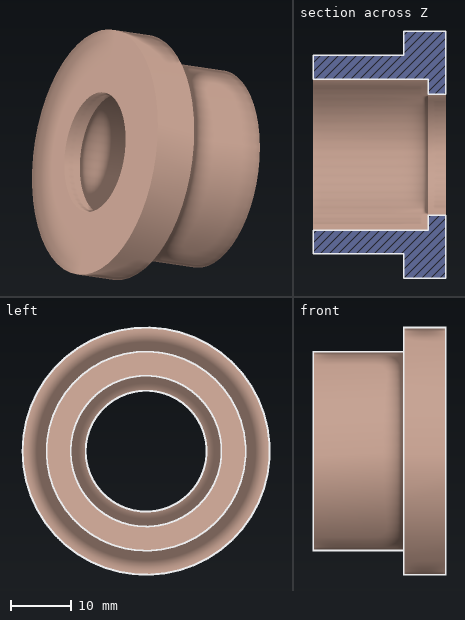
import cadquery as cq

barrel_diameter = 33.0
barrel_length = 15.0
flange_diameter = 41.0
flange_thickness = 7.0
socket_diameter = 25.0
through_hole_diameter = 20.0
shoulder_thickness = 3.0

total_length = barrel_length + flange_thickness
socket_depth = total_length - shoulder_thickness


def cylinder_along_x(diameter, start_x, length):
    """Solid cylinder on the X axis, growing toward +X from start_x."""
    return cq.Workplane("YZ", origin=(start_x, 0, 0)).circle(diameter / 2).extrude(length)


barrel = cylinder_along_x(barrel_diameter, 0, total_length)
flange = cylinder_along_x(flange_diameter, barrel_length, flange_thickness)
body = barrel.union(flange)

socket = cylinder_along_x(socket_diameter, 0, socket_depth)
through_hole = cylinder_along_x(through_hole_diameter, 0, total_length)

result = body.cut(socket).cut(through_hole)